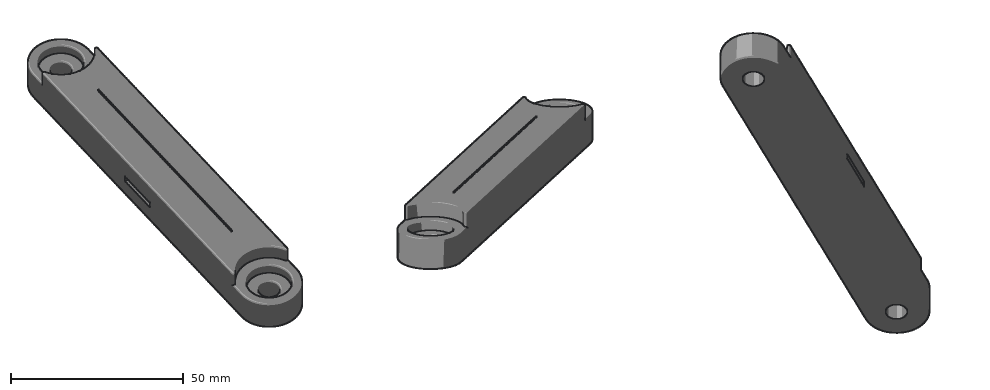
import cadquery as cq

length = 128.7
width = 19.3
height = 14.0
edge_rounding = 0.5
bottom_rounding = 0.6
hole_spacing = length - width
hole_centers = [(-hole_spacing / 2, 0), (hole_spacing / 2, 0)]

ear_height = 9.5
relief_radius = 9.8
horn_radius = 0.54

hole_diameter = 6.3
counterbore_diameter = 13.3
counterbore_depth = 3.1

groove_length = 70.2
groove_width = 0.3
groove_depth = 0.3

recess_diameter = 13.1
recess_height = 1.8
recess_top = 7.3


def make_ears():
    """Full-length bar with rounded ends, as high as the ears."""
    bar = cq.Workplane("XY").slot2D(length, width).extrude(ear_height)
    bar = bar.faces("<Z").edges().fillet(bottom_rounding)
    return bar.faces(">Z").edges().fillet(edge_rounding)


def make_middle():
    """Raised middle that curves around the screw heads, its sharp horns rounded."""
    middle = (
        cq.Workplane("XY", origin=(0, 0, bottom_rounding))
        .rect(hole_spacing, width)
        .extrude(height - bottom_rounding)
    )
    reliefs = cq.Workplane("XY").pushPoints(hole_centers).circle(relief_radius).extrude(height)
    middle = middle.cut(reliefs)
    middle = middle.edges("|Z").fillet(horn_radius)
    return middle.faces(">Z").edges().fillet(edge_rounding)


def make_screw_hole():
    """Counterbored through hole on the Z axis, its profile flaring out at both rounded rims."""
    hole_radius = hole_diameter / 2
    counterbore_radius = counterbore_diameter / 2
    floor = ear_height - counterbore_depth
    return (
        cq.Workplane("XZ")
        .lineTo(hole_radius, 0)
        .lineTo(hole_radius, floor - edge_rounding)
        .tangentArcPoint((edge_rounding, edge_rounding))
        .lineTo(counterbore_radius, floor)
        .lineTo(counterbore_radius, ear_height - edge_rounding)
        .tangentArcPoint((edge_rounding, edge_rounding))
        .lineTo(0, ear_height)
        .close()
        .revolve(360, (0, 0), (0, 1))
    )


def make_groove():
    """Hairline groove along the middle of the top face."""
    groove = cq.Workplane("XY", origin=(0, 0, height - groove_depth))
    return groove.rect(groove_length, groove_width).extrude(groove_depth)


def make_recess():
    """Flat disc centred on the front side, so that half of it enters the bar."""
    recess = cq.Workplane("XY", origin=(0, -width / 2, recess_top - recess_height))
    return recess.circle(recess_diameter / 2).extrude(recess_height)


result = make_ears().union(make_middle())
for x, y in hole_centers:
    result = result.cut(make_screw_hole().translate((x, y, 0)))
result = result.cut(make_groove())
result = result.cut(make_recess())